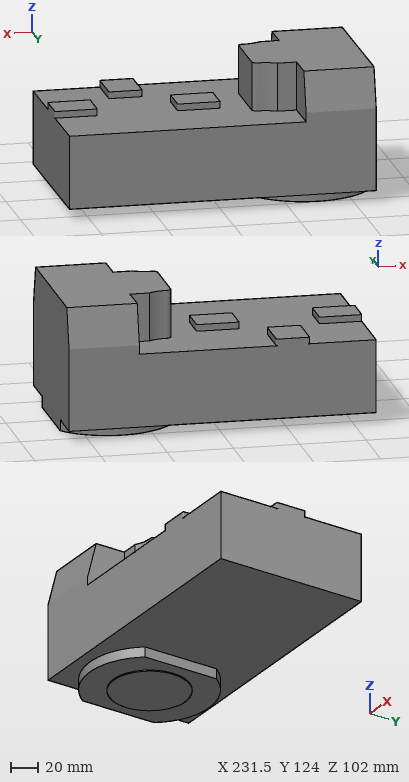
import cadquery as cq
import math

length = 231.5
width = 124.0
total_height = 102.0
block_bottom = 9.3
block_top = 65.3

head_length = 53.0
slope_start = 72.0
slope_inset = 7.6

tongue_end = 85.2
tongue_root_width = 59.3
neck_start = 67.5
neck_radius = 24.3
neck_drop = 4.0
corner_radius = 4.0
corner_length = 3.7

disc_diameter = 104.6
disc_flat_width = 63.0
disc_bottom = 1.0
spigot_diameter = 63.0

pad_length = 32.0
pad_width = 25.0
pad_height = 5.0
pad_corner_radius = 1.0
middle_pad_x = 123.0
side_pad_x = 168.8


def make_block():
    return cq.Workplane("XY", origin=(0, 0, block_bottom)).box(
        length, width, block_top - block_bottom, centered=(False, True, False)
    )


def make_head():
    half_width = width / 2
    half_top = half_width - slope_inset
    profile = [
        (-half_width, block_bottom),
        (half_width, block_bottom),
        (half_width, slope_start),
        (half_top, total_height),
        (-half_top, total_height),
        (-half_width, slope_start),
    ]
    return cq.Workplane("YZ").polyline(profile).close().extrude(head_length)


def make_tongue():
    """Tongue narrowed by a hollow arc on each side, then rounded into its flat end.

    The hollow arc ends parallel to the length. Each rounding starts parallel to it too
    and meets the flat end at a slight angle, a little short of a full quarter turn.
    """
    root = tongue_root_width / 2
    tip = root - neck_drop

    neck_sweep = math.acos(1 - neck_drop / neck_radius)
    neck_end = neck_start + neck_radius * math.sin(neck_sweep)
    neck_mid_x = neck_end - neck_radius * math.sin(neck_sweep / 2)
    neck_mid_y = tip + neck_radius * (1 - math.cos(neck_sweep / 2))

    corner_sweep = math.asin(corner_length / corner_radius)
    corner_start = tongue_end - corner_length
    corner_mid_x = corner_start + corner_radius * math.sin(corner_sweep / 2)
    corner_mid_y = tip - corner_radius * (1 - math.cos(corner_sweep / 2))
    corner_end_y = tip - corner_radius * (1 - math.cos(corner_sweep))

    return (
        cq.Workplane("XY", origin=(0, 0, block_bottom))
        .moveTo(0, -root)
        .lineTo(neck_start, -root)
        .threePointArc((neck_mid_x, -neck_mid_y), (neck_end, -tip))
        .lineTo(corner_start, -tip)
        .threePointArc((corner_mid_x, -corner_mid_y), (tongue_end, -corner_end_y))
        .lineTo(tongue_end, corner_end_y)
        .threePointArc((corner_mid_x, corner_mid_y), (corner_start, tip))
        .lineTo(neck_end, tip)
        .threePointArc((neck_mid_x, neck_mid_y), (neck_start, root))
        .lineTo(0, root)
        .close()
        .extrude(total_height - block_bottom)
    )


def make_mount():
    """Disc with two flats, one flush with the head's outer face, and a low round spigot."""
    flat_distance = math.sqrt(disc_diameter**2 - disc_flat_width**2) / 2
    base = cq.Workplane("XY", origin=(flat_distance, 0, disc_bottom))
    thickness = block_bottom - disc_bottom
    disc = base.circle(disc_diameter / 2).extrude(thickness)
    flats = base.rect(2 * flat_distance, disc_diameter).extrude(thickness)
    spigot = base.circle(spigot_diameter / 2).extrude(-disc_bottom)
    return disc.intersect(flats).union(spigot)


def make_pad(center_x, center_y, size_x, size_y):
    return (
        cq.Workplane("XY", origin=(center_x, center_y, block_top))
        .rect(size_x, size_y)
        .extrude(pad_height)
        .edges("|Z")
        .fillet(pad_corner_radius)
    )


middle_pad = make_pad(middle_pad_x, 0, pad_length, pad_width)
end_pad = make_pad(length - pad_length / 2, 0, pad_length, pad_width)
side_pad = make_pad(side_pad_x, (pad_length - width) / 2, pad_width, pad_length)

result = make_block()
for feature in (make_head(), make_tongue(), make_mount(), middle_pad, end_pad, side_pad):
    result = result.union(feature)